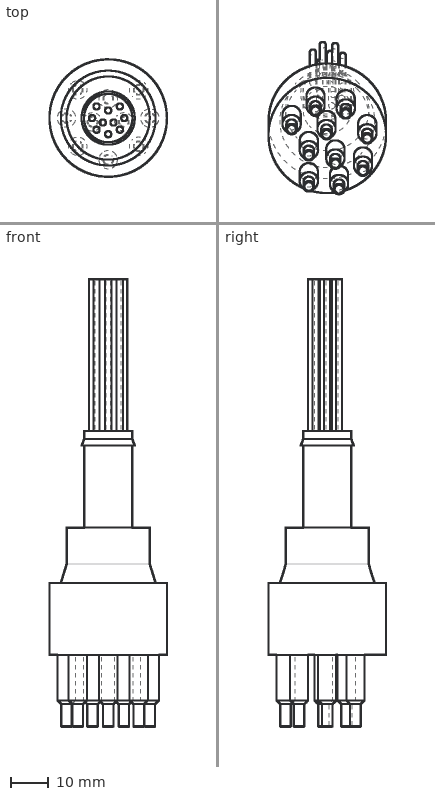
import cadquery as cq

SLEEVE_BOTTOM_Z = 6.0
BODY_BOTTOM_Z = 19.0
BODY_TOP_Z = 38.0
COLLAR_BOTTOM_Z = 43.0
COLLAR_TOP_Z = 52.5
RIB_BOTTOM_Z = 74.1
RIB_TOP_Z = 75.9
CABLE_TOP_Z = 78.0
WIRE_TOP_Z = 118.0

BODY_DIAMETER = 31.0
CONE_BASE_DIAMETER = 25.0
COLLAR_DIAMETER = 22.0
CABLE_DIAMETER = 12.7
RIB_DIAMETER = 14.0

WIRE_DIAMETER = 1.7
PIN_DIAMETER = 2.8
PIN_TIP_CHAMFER = 0.2
SLEEVE_DIAMETER = 4.8
SLEEVE_STEP = (SLEEVE_DIAMETER - PIN_DIAMETER) / 2

WIRE_POSITIONS = [
    (-3.1, 3.1), (3.1, 3.1), (0, 2.0), (-4.2, 0), (4.2, 0),
    (-1.4, -1.2), (1.4, -1.2), (-3.1, -3.1), (3.1, -3.1), (0, -4.2),
]
PIN_POSITIONS = [
    (-8.0, 7.4), (8.0, 7.4), (0, 5.1), (-11.0, 0), (11.0, 0),
    (-4.1, -1.0), (4.1, -1.0), (-8.0, -7.4), (8.0, -7.4), (0, -11.0),
]


def turn(outline):
    """Solid of revolution about Z from (radius, Z) points."""
    return cq.Workplane("XZ").polyline(outline).close().revolve(360, (0, 0), (0, 1))


def make_housing():
    """Body, cone, collar and cable with its rib, turned about Z."""
    outline = [
        (0, BODY_BOTTOM_Z),
        (BODY_DIAMETER / 2, BODY_BOTTOM_Z),
        (BODY_DIAMETER / 2, BODY_TOP_Z),
        (CONE_BASE_DIAMETER / 2, BODY_TOP_Z),
        (COLLAR_DIAMETER / 2, COLLAR_BOTTOM_Z),
        (COLLAR_DIAMETER / 2, COLLAR_TOP_Z),
        (CABLE_DIAMETER / 2, COLLAR_TOP_Z),
        (CABLE_DIAMETER / 2, RIB_BOTTOM_Z),
        (RIB_DIAMETER / 2, RIB_BOTTOM_Z),
        (CABLE_DIAMETER / 2, RIB_TOP_Z),
        (CABLE_DIAMETER / 2, CABLE_TOP_Z),
        (0, CABLE_TOP_Z),
    ]
    return turn(outline)


def make_wires():
    """Bare wires standing on the end of the cable."""
    cable_end = cq.Workplane("XY").workplane(offset=CABLE_TOP_Z)
    sections = cable_end.pushPoints(WIRE_POSITIONS).circle(WIRE_DIAMETER / 2)
    return sections.extrude(WIRE_TOP_Z - CABLE_TOP_Z)


def make_contact():
    """One pin with a chamfered tip, widening at 45 degrees into its sleeve."""
    pin_radius = PIN_DIAMETER / 2
    outline = [
        (0, 0),
        (pin_radius - PIN_TIP_CHAMFER, 0),
        (pin_radius, PIN_TIP_CHAMFER),
        (pin_radius, SLEEVE_BOTTOM_Z),
        (SLEEVE_DIAMETER / 2, SLEEVE_BOTTOM_Z + SLEEVE_STEP),
        (SLEEVE_DIAMETER / 2, BODY_BOTTOM_Z),
        (0, BODY_BOTTOM_Z),
    ]
    return turn(outline)


result = make_housing().union(make_wires())

contact = make_contact()
for x, y in PIN_POSITIONS:
    result = result.union(contact.translate((x, y, 0)))